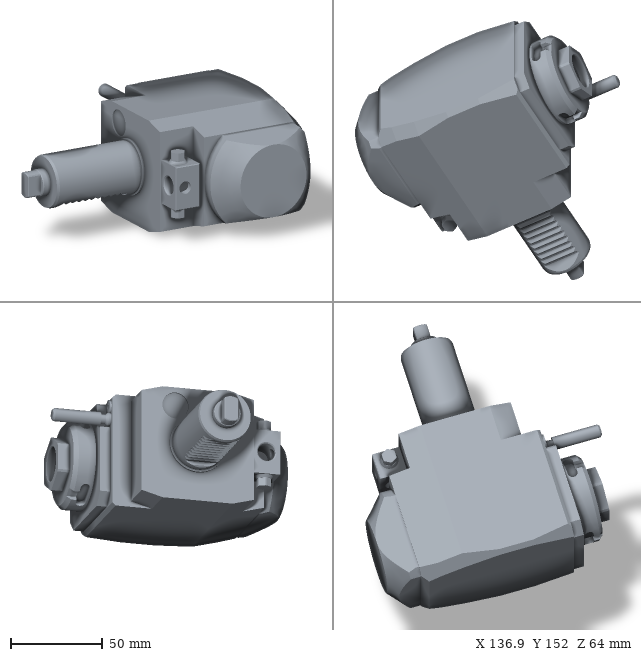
import cadquery as cq
import math


BODY_HEIGHT = 64.0
HALF_HEIGHT = BODY_HEIGHT / 2
BODY_LEFT = -42.3
BODY_RIGHT = 44.2
BODY_BACK = 85.1
FLANGE_LEFT = -31.8
FLANGE_RIGHT = 32.4
FLANGE_DEPTH = 21.1
SPINDLE_Y = 55.0
TAPER = math.tan(math.radians(15))
TAPER_START = 20.2
CAP_RIGHT = 61.7
CUT_SIZE = 91.2


def taper_height(x):
    """Half height of the sloped top and bottom at the given X."""
    return HALF_HEIGHT - TAPER * (x - TAPER_START)


def cylinder_x(x_start, x_end, radius, y=SPINDLE_Y, z=0.0):
    return cq.Workplane("YZ", origin=(x_start, y, z)).circle(radius).extrude(x_end - x_start)


def revolve_x(outline, y=SPINDLE_Y, z=0.0):
    """Revolve (x, radius) points about an axis along X."""
    return cq.Workplane("XY", origin=(0, y, z)).polyline(outline).close().revolve(360, (0, 0, 0), (1, 0, 0))


def extrude_z(outline, half_height):
    return cq.Workplane("XY").polyline(outline).close().extrude(half_height, both=True)


def rounded_hex(plane, across_flats, corner_diameter, length):
    """Hexagon bar with two corners on the plane's Y axis and all corners turned down."""
    hexagon = plane.polygon(6, across_flats / math.cos(math.pi / 6)).extrude(length)
    corner_turn = 30
    origin = plane.plane.origin
    hexagon = hexagon.rotate(origin, origin + plane.plane.zDir, corner_turn)
    return hexagon.intersect(plane.circle(corner_diameter / 2).extrude(length))


def make_body():
    outline = [
        (FLANGE_LEFT, 0), (FLANGE_RIGHT, 0),
        (FLANGE_RIGHT, FLANGE_DEPTH), (BODY_RIGHT, FLANGE_DEPTH),
        (BODY_RIGHT, BODY_BACK), (BODY_LEFT, BODY_BACK),
        (BODY_LEFT, FLANGE_DEPTH), (FLANGE_LEFT, FLANGE_DEPTH),
    ]
    body = extrude_z(outline, HALF_HEIGHT)

    left_edge_chamfer = 1.8
    body = body.faces("<X").edges("|Y").chamfer(left_edge_chamfer)
    right_corner_chamfer = 3.5
    body = body.faces(">X").edges(">Y").chamfer(right_corner_chamfer)

    slope_profile = [
        (TAPER_START, HALF_HEIGHT), (CUT_SIZE, taper_height(CUT_SIZE)), (CUT_SIZE, HALF_HEIGHT),
    ]
    slope = cq.Workplane("XZ").polyline(slope_profile).close().extrude(-CUT_SIZE)

    flange_taper_start = -19.8
    flange_drop = TAPER * (flange_taper_start - FLANGE_LEFT)
    flange_profile = [
        (flange_taper_start, HALF_HEIGHT), (FLANGE_LEFT, HALF_HEIGHT - flange_drop),
        (FLANGE_LEFT, HALF_HEIGHT),
    ]
    flange_slope = cq.Workplane("XZ").polyline(flange_profile).close().extrude(-FLANGE_DEPTH)

    facets = [(BODY_LEFT, 6.2), (-19.8, 2.5), (0.0, 2.5), (20.0, 6.0), (34.0, 9.5), (BODY_RIGHT, 13.8)]
    facet_outline = [(x, -leg / math.sqrt(2)) for x, leg in facets]
    clearance = 1.5
    facet_outline += [(BODY_RIGHT, clearance), (BODY_LEFT, clearance)]
    back_plane = cq.Plane(origin=(0, BODY_BACK, HALF_HEIGHT), xDir=(1, 0, 0), normal=(0, -1, 1))
    back_chamfer = cq.Workplane(back_plane).polyline(facet_outline).close().extrude(CUT_SIZE / 2, both=True)

    for cutter in (slope, flange_slope, back_chamfer):
        body = body.cut(cutter).cut(cutter.mirror("XY"))

    recess_x = -12.5
    recess_z = 21.6
    recess_radius = 7.5
    recess_depth = 0.9
    recess = cq.Workplane("XZ", origin=(recess_x, 0, recess_z)).circle(recess_radius).extrude(-recess_depth)
    return body.cut(recess)


def make_end_cap():
    radius = 33.5
    cone_start = 50.3
    end_radius = taper_height(CAP_RIGHT)
    cap = revolve_x([
        (0, 0), (0, radius), (cone_start, radius), (CAP_RIGHT, end_radius), (CAP_RIGHT, 0),
    ])

    strip_end = 46.0
    strip_height = taper_height(strip_end)
    envelope = [
        (BODY_RIGHT, strip_height), (strip_end, strip_height), (CAP_RIGHT, end_radius),
        (CAP_RIGHT, -end_radius), (strip_end, -strip_height), (BODY_RIGHT, -strip_height),
    ]
    cap_back = 81.3
    return cap.intersect(cq.Workplane("XZ").polyline(envelope).close().extrude(-cap_back))


PLATE_LEFT = -48.0
PIN_Y = 26.5
PIN_Z = 19.0
PIN_RADIUS = 3.6


def make_front_plate():
    size = 58.8
    half_size = size / 2
    corner_chamfer = 6.7
    thickness = BODY_LEFT - PLATE_LEFT
    plate = cq.Workplane("YZ", origin=(PLATE_LEFT, SPINDLE_Y, 0)).rect(size, size)
    plate = plate.extrude(thickness).edges("|X").chamfer(corner_chamfer)

    notch_y = 31.2
    notch_z = 14.3
    notch_chamfer = 1.4
    notch_fillet = 3.0
    notch_outline = [
        (0, notch_z), (notch_y, notch_z), (notch_y, half_size - notch_chamfer),
        (notch_y + notch_chamfer, half_size), (0, half_size),
    ]
    notch = cq.Workplane("YZ", origin=(PLATE_LEFT, 0, 0)).polyline(notch_outline).close().extrude(thickness)
    notch = notch.edges("|X").edges("<Z").edges(">Y").fillet(notch_fillet)
    return plate.cut(notch)


def make_pin_and_screw():
    tip = -75.2
    tip_chamfer = 1.0
    neck_radius = 2.5
    neck_end = -45.0
    pin = revolve_x([
        (tip, 0), (tip, PIN_RADIUS - tip_chamfer), (tip + tip_chamfer, PIN_RADIUS),
        (PLATE_LEFT, PIN_RADIUS), (PLATE_LEFT, neck_radius), (neck_end, neck_radius),
        (neck_end + PIN_RADIUS - neck_radius, PIN_RADIUS), (BODY_LEFT, PIN_RADIUS), (BODY_LEFT, 0),
    ], PIN_Y, PIN_Z)

    screw_z = 26.0
    screw_radius = 4.0
    screw_height = 1.0
    socket_radius = 1.4
    screw_face = BODY_LEFT - screw_height
    screw = cylinder_x(screw_face, BODY_LEFT, screw_radius, PIN_Y, screw_z)
    socket = cylinder_x(screw_face, BODY_LEFT, socket_radius, PIN_Y, screw_z)
    return pin.union(screw.cut(socket))


def make_collet_nut():
    front = -61.0
    back = -48.8
    radius = 24.5
    face_radius = 22.2
    neck_radius = 21.6
    chamfer_length = 2.3
    nut = revolve_x([
        (front, 0), (front, face_radius), (front + chamfer_length, radius),
        (back, radius), (back, neck_radius), (PLATE_LEFT, neck_radius), (PLATE_LEFT, 0),
    ])

    slot_width = 6.2
    slot_floor = 21.6
    pocket_floor = 21.1
    pocket_width = 5.5
    pocket_length = 16.3
    pocket_x = -52.7
    slot_count = 3
    slot = (
        cq.Workplane("XY")
        .box(pocket_x - front, radius - slot_floor, slot_width, centered=(False, False, True))
        .translate((front, SPINDLE_Y + slot_floor, 0))
    )
    pocket = (
        cq.Workplane("XZ", origin=(pocket_x, SPINDLE_Y, 0))
        .slot2D(pocket_length, pocket_width, 90)
        .extrude(-radius)
        .cut(cylinder_x(front, back, pocket_floor))
    )
    cutter = slot.union(pocket)
    for index in range(slot_count):
        angle = index * 360 / slot_count
        nut = nut.cut(cutter.rotate((0, SPINDLE_Y, 0), (1, SPINDLE_Y, 0), angle))

    nose_front = -67.5
    nose_flats = 26.9
    nose_corner_diameter = 30.2
    bore_radius = 9.5
    bore_depth = 4.9
    bore_chamfer = 0.5
    nose_plane = cq.Workplane("YZ", origin=(nose_front, SPINDLE_Y, 0))
    nose = rounded_hex(nose_plane, nose_flats, nose_corner_diameter, front - nose_front)
    bore = cylinder_x(nose_front, nose_front + bore_depth, bore_radius)
    bore_rim = cq.selectors.RadiusNthSelector(0)
    nose = nose.cut(bore).faces("<X").edges("%CIRCLE").edges(bore_rim).chamfer(bore_chamfer)
    return nut.union(nose)


def make_shank():
    diameter = 30.0
    radius = diameter / 2
    shank_end = -54.7
    end_chamfer_length = 1.5
    end_radius = 14.5
    collar_diameter = 31.8
    collar_radius = collar_diameter / 2
    collar_length = 1.4
    groove_radius = 14.7
    groove_end = -2.3
    stub_radius = 7.6
    stub_end = -59.3
    tang_end = -66.9
    tang_diameter = 14.5
    tang_width = 7.9
    edge_chamfer = 0.5

    outline = [
        (0, 0), (collar_radius, 0), (collar_radius, -collar_length), (groove_radius, -collar_length),
        (groove_radius, groove_end), (radius, groove_end), (radius, shank_end + end_chamfer_length),
        (end_radius, shank_end), (stub_radius, shank_end), (stub_radius, stub_end + edge_chamfer),
        (stub_radius - edge_chamfer, stub_end), (0, stub_end),
    ]
    shank = cq.Workplane("XY").polyline(outline).close().revolve(360, (0, 0, 0), (0, 1, 0))

    tang_length = stub_end - tang_end
    tang = cq.Workplane("XZ", origin=(0, stub_end, 0)).circle(tang_diameter / 2).extrude(tang_length)
    flats = cq.Workplane("XZ", origin=(0, stub_end, 0)).rect(tang_width, CUT_SIZE).extrude(tang_length)
    tang = tang.intersect(flats).edges("|Y").chamfer(edge_chamfer)
    tang = tang.faces("<Y").edges().chamfer(edge_chamfer)

    valley_count = 10
    first_valley = -11.5
    last_valley = -47.7
    valley_pitch = (first_valley - last_valley) / (valley_count - 1)
    valley_width = 0.9
    valley_z = -10.5
    land_z = -12.0
    land_start = -7.0
    start_chamfer = 0.9
    flank = valley_z - land_z
    last_valley_end = last_valley - valley_width / 2

    teeth = [
        (land_start + start_chamfer, -radius), (land_start, start_chamfer - radius), (land_start, land_z),
    ]
    for index in range(valley_count):
        valley = first_valley - index * valley_pitch
        start = valley + valley_width / 2
        end = valley - valley_width / 2
        teeth += [(start + flank, land_z), (start, valley_z), (end, valley_z)]
        if index < valley_count - 1:
            teeth.append((end - flank, land_z))
    teeth.append((last_valley_end - (radius + valley_z), -radius))
    clearance = 1.5
    teeth += [(teeth[-1][0], -radius - clearance), (teeth[0][0], -radius - clearance)]
    rack = cq.Workplane("YZ").polyline(teeth).close().extrude(CUT_SIZE, both=True)
    return shank.cut(rack).union(tang)


def make_coolant_block():
    right = 48.0
    front = 1.0
    back = 16.3
    half_height = 12.5
    edge_chamfer = 0.5
    port_x = 40.0
    port_y = 7.0
    block = (
        cq.Workplane("XY")
        .box(right - FLANGE_RIGHT, back - front, 2 * half_height, centered=(False, False, True))
        .translate((FLANGE_RIGHT, front, 0))
        .faces(">X").edges().chamfer(edge_chamfer)
    )

    port_radius = 5.0
    port_chamfer = 0.6
    side_port_radius = 3.6
    port = cq.Workplane("XZ", origin=(port_x, front, 0)).circle(port_radius).extrude(front - back)
    countersink = (
        cq.Workplane("XZ", origin=(port_x, front, 0))
        .circle(port_radius + port_chamfer)
        .workplane(offset=-port_chamfer)
        .circle(port_radius)
        .loft()
    )
    side_port = cylinder_x(port_x, right, side_port_radius, port_y)
    block = block.cut(port).cut(countersink).cut(side_port)

    flange_radius = 5.2
    flange_height = 1.5
    hex_flats = 7.5
    hex_corner_diameter = 8.2
    hex_height = 4.7
    plug_flange = (
        cq.Workplane("XY", origin=(port_x, port_y, half_height))
        .circle(flange_radius)
        .workplane(offset=flange_height)
        .circle(hex_corner_diameter / 2)
        .loft()
    )
    head_plane = cq.Workplane("XY", origin=(port_x, port_y, half_height + flange_height))
    plug = plug_flange.union(rounded_hex(head_plane, hex_flats, hex_corner_diameter, hex_height))
    return block.union(plug).union(plug.mirror("XY"))


result = (
    make_body()
    .union(make_end_cap())
    .union(make_front_plate())
    .union(make_collet_nut())
    .union(make_pin_and_screw())
    .union(make_shank())
    .union(make_coolant_block())
)